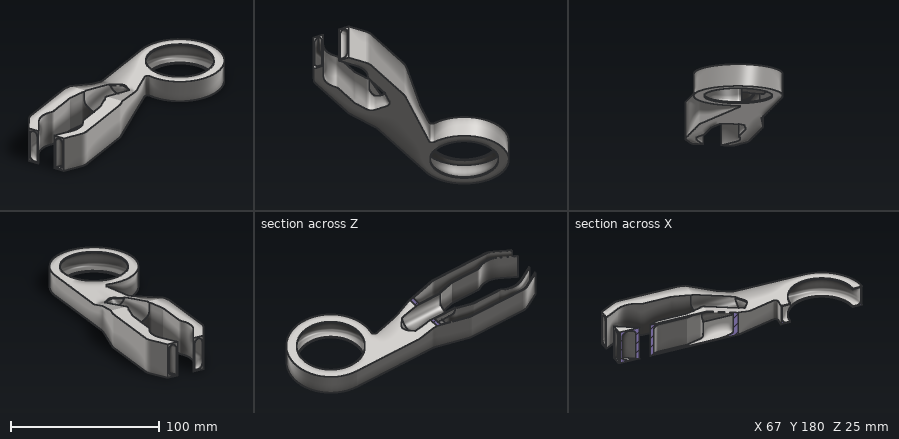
import cadquery as cq
import math

total_length = 180.0
claw_height = 25.0
ring_height = 15.1
wall = 1.0
cavity_round = 3.0

ring_radius = 30.0
bore_radius = 23.0
ring_x = 15.0
ring_y = total_length - ring_radius
neck_left = ring_x - ring_radius

claw_half_width = 22.0
slot_half_width = 11.9
slot_end = 65.3
slot_taper_start = 51.0
shoulder = 60.3
elbow = 13.9
taper = math.tan(math.radians(15))
tip_angle = math.radians(30)
tip_slope = math.tan(tip_angle)
seat_radius = 15.0
seat_y = 19.3

outer_round = 10.0
slot_round = 5.0
crotch_round = 2.2

ramp_start = 97.5
ramp_round = 10.8
groove_radius = 8.1
groove_axis_z = 18.2
groove_end = 96.0


def round_upright_edges(solid, points, radius):
    """Round the vertical edges that stand nearest to the given plan points."""
    for x, y in points:
        edge = cq.selectors.NearestToPointSelector((x, y, claw_height / 2))
        solid = solid.edges("|Z").edges(edge).fillet(radius)
    return solid


def make_slot(tip_y):
    """Opening between the jaws: tapered end, straight sides, round seat and flared mouth."""
    end_half_width = slot_half_width - (slot_end - slot_taper_start) * taper
    seat_top = seat_y + math.sqrt(seat_radius**2 - slot_half_width**2)
    tangent_x = seat_radius * math.cos(tip_angle)
    tangent_y = seat_y - seat_radius * math.sin(tip_angle)
    mouth_half_width = tangent_x - (tangent_y - tip_y) * tip_slope
    slot = (
        cq.Workplane("XY")
        .moveTo(mouth_half_width, tip_y)
        .lineTo(tangent_x, tangent_y)
        .threePointArc((seat_radius, seat_y), (slot_half_width, seat_top))
        .lineTo(slot_half_width, slot_taper_start)
        .lineTo(end_half_width, slot_end)
        .lineTo(-end_half_width, slot_end)
        .lineTo(-slot_half_width, slot_taper_start)
        .lineTo(-slot_half_width, seat_top)
        .threePointArc((-seat_radius, seat_y), (-tangent_x, tangent_y))
        .lineTo(-mouth_half_width, tip_y)
        .close()
        .extrude(claw_height)
    )
    corners = [
        (side * x, y)
        for side in (-1, 1)
        for x, y in ((slot_half_width, seat_top), (end_half_width, slot_end))
    ]
    return round_upright_edges(slot, corners, slot_round)


def make_blank(tip_y):
    """Full-height plate with the outer outline of ring, neck and claw."""
    tip_half_width = claw_half_width - (elbow - tip_y) * tip_slope
    neck_corner_y = shoulder + (claw_half_width + neck_left) / taper
    neck_right = claw_half_width - (ring_y - shoulder) * taper
    blank = (
        cq.Workplane("XY")
        .polyline([
            (neck_left, ring_y),
            (neck_left, neck_corner_y),
            (-claw_half_width, shoulder),
            (-claw_half_width, elbow),
            (-tip_half_width, tip_y),
            (tip_half_width, tip_y),
            (claw_half_width, elbow),
            (claw_half_width, shoulder),
            (neck_right, ring_y),
        ])
        .close()
        .extrude(claw_height)
    )
    corners = [(neck_left, neck_corner_y)]
    for side in (-1, 1):
        corners += [(side * claw_half_width, shoulder), (side * claw_half_width, elbow)]
    blank = round_upright_edges(blank, corners, outer_round)

    ring = cq.Workplane("XY").center(ring_x, ring_y).circle(ring_radius).extrude(claw_height)
    ring_bottom = ring_y - ring_radius
    crotch = (claw_half_width - (ring_bottom - shoulder) * taper, ring_bottom)
    return round_upright_edges(blank.union(ring), [crotch], crotch_round)


def make_ramp_cut(drop):
    """Space above the low ring and the ramp, lowered by the given amount."""
    rise = claw_height - ring_height
    run = ramp_start - slot_end
    clear = total_length
    cut = (
        cq.Workplane("YZ")
        .polyline([
            (total_length + clear, ring_height - drop),
            (ramp_start, ring_height - drop),
            (ramp_start - 2 * run, ring_height + 2 * rise - drop),
            (total_length + clear, ring_height + 2 * rise - drop),
        ])
        .close()
        .extrude(clear, both=True)
    )
    foot = cq.selectors.NearestToPointSelector((0, ramp_start, ring_height - drop))
    return cut.edges("|X").edges(foot).fillet(ramp_round)


def make_groove(margin):
    """Round-bottomed groove along Y with a 45 degree conical end, grown by a margin."""
    radius = groove_radius + margin
    start = slot_end - slot_round
    length = groove_end - start
    trough = (
        cq.Workplane("XZ", origin=(0, groove_end, groove_axis_z))
        .circle(radius)
        .extrude(length)
    )
    cheeks = (
        cq.Workplane("XY", origin=(0, start + length / 2, groove_axis_z))
        .rect(2 * radius, length)
        .extrude(claw_height)
    )
    cone = cq.Workplane(
        cq.Solid.makeCone(
            radius, 0, radius,
            pnt=cq.Vector(0, groove_end, groove_axis_z),
            dir=cq.Vector(0, 1, 0),
        )
    )
    return trough.union(cheeks).union(cone)


def make_cavity():
    """Hollow one wall inside the body, running from the ring out through both jaw tips."""
    tip_y = -2 * wall
    plan = make_blank(tip_y).cut(make_slot(tip_y))
    cavity = (
        plan.faces("<Z").wires().toPending()
        .workplane(origin=(0, 0, wall), invert=True)
        .offset2D(-wall)
        .extrude(claw_height - 2 * wall, combine=False)
        .translate((0, 0, wall))
    )
    slot_side = cq.selectors.BoxSelector(
        (-seat_radius - wall / 2, 2 * tip_y, 0),
        (seat_radius + wall / 2, slot_end + 2 * wall, claw_height),
    )
    tips = cq.selectors.BoxSelector(
        (-claw_half_width, 2 * tip_y, 0), (claw_half_width, 0, claw_height)
    )
    bottom = cq.selectors.StringSyntaxSelector("<Z")
    top = cq.selectors.StringSyntaxSelector(">Z")
    rounded_outside = cavity.edges((bottom + top) - slot_side).fillet(cavity_round)
    rounded_inside = cavity.edges((top & slot_side) - tips).fillet(cavity_round)
    cavity = rounded_outside.intersect(rounded_inside)
    return cavity.cut(make_ramp_cut(wall)).cut(make_groove(wall))


def make_bore():
    """Through hole of the ring, which also opens the cavity all around."""
    return cq.Workplane("XY").center(ring_x, ring_y).circle(bore_radius).extrude(claw_height)


body = make_blank(0).cut(make_slot(0)).cut(make_ramp_cut(0)).cut(make_groove(0))
result = body.cut(make_cavity()).cut(make_bore())